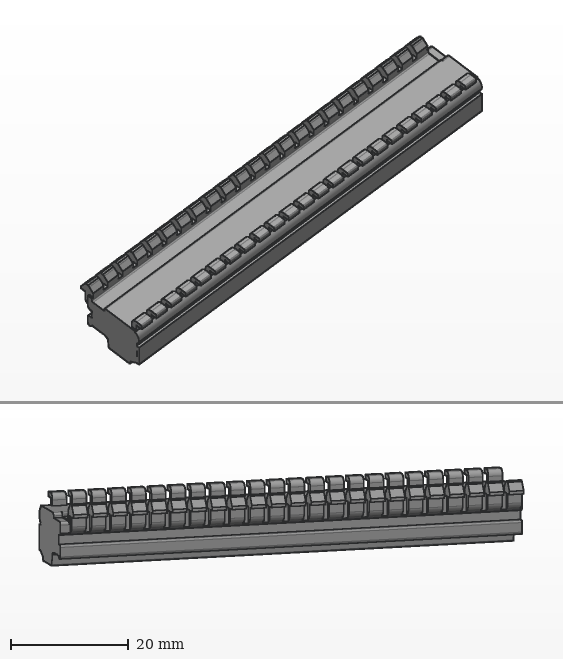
import cadquery as cq

LENGTH = 82.0
FRONT_Y = -LENGTH / 2
BACK_Y = LENGTH / 2

TOP_Z = 9.35
HOOK_TOP_Z = 11.5
GROOVE_FLOOR_Z = 8.6
LEDGE_Z = 4.4
NOTCH_FLOOR_Z = 5.9
SHELF_Z = 2.5
BEAD_BOTTOM_Z = 2.0
EDGE_ROUND = 0.25
LEDGE_ROUND = 0.3

LIP_LEFT_X = 2.0
LIP_RIGHT_X = 2.95
GROOVE_RIGHT_X = 6.0
BODY_RIGHT_X = 14.35
RIGHT_TOP_X = 13.4
NOTCH_X = 13.8
HOOK_RIGHT_X = 14.7

UNDERCUT_START_Z = 6.5
UNDERCUT_END_Z = 6.1

REAR_STEP_LENGTH = 1.55
REAR_FLOOR_Z = 8.45
REAR_ROUND = 0.5

HOOK_COUNT = 23
HOOK_WIDTH = 2.55
REAR_GAP = 1.7
FRONT_GAP = 0.3
HOOK_SPAN = LENGTH - REAR_GAP - FRONT_GAP
HOOK_PITCH = (HOOK_SPAN - HOOK_WIDTH) / (HOOK_COUNT - 1)

SLIT_X = 13.85
SLIT_Z = 3.9
SLIT_WIDTH = 0.1
SLIT_HEIGHT = 1.2
SLIT_DEPTH = 0.1

OVERLAP = 0.2
ARC_MIDDLE = 1 - 0.5 ** 0.5


def section_at(front_y):
    """Sketch plane for a cross-section that is extruded toward +Y."""
    return cq.Workplane(cq.Plane(origin=(0, front_y, 0), xDir=(1, 0, 0), normal=(0, -1, 0)))


def make_body():
    """Full-length housing with the top groove, side groove and foot."""
    bulge = EDGE_ROUND * ARC_MIDDLE
    ledge_bulge = LEDGE_ROUND * ARC_MIDDLE
    return (
        section_at(FRONT_Y)
        .moveTo(LIP_LEFT_X, TOP_Z)
        .lineTo(LIP_RIGHT_X, TOP_Z)
        .lineTo(LIP_RIGHT_X, GROOVE_FLOOR_Z + EDGE_ROUND)
        .threePointArc(
            (LIP_RIGHT_X + bulge, GROOVE_FLOOR_Z + bulge),
            (LIP_RIGHT_X + EDGE_ROUND, GROOVE_FLOOR_Z),
        )
        .lineTo(GROOVE_RIGHT_X, GROOVE_FLOOR_Z)
        .lineTo(GROOVE_RIGHT_X, TOP_Z - EDGE_ROUND)
        .threePointArc((GROOVE_RIGHT_X + bulge, TOP_Z - bulge), (GROOVE_RIGHT_X + EDGE_ROUND, TOP_Z))
        .lineTo(RIGHT_TOP_X, TOP_Z)
        .lineTo(RIGHT_TOP_X, 9.1)
        .threePointArc((BODY_RIGHT_X, 7.7), (NOTCH_X, 6.4))
        .lineTo(NOTCH_X, NOTCH_FLOOR_Z)
        .lineTo(BODY_RIGHT_X, NOTCH_FLOOR_Z)
        .lineTo(BODY_RIGHT_X, 1.55)
        .lineTo(13.7, 1.5)
        .lineTo(12.2, 0.65)
        .lineTo(12.1, 0)
        .lineTo(7.05, 0)
        .lineTo(7.0, 0.25)
        .lineTo(6.8, 2.0)
        .threePointArc((6.5, 2.3), (5.9, SHELF_Z))
        .lineTo(LIP_RIGHT_X, SHELF_Z)
        .threePointArc(((LIP_LEFT_X + LIP_RIGHT_X) / 2, BEAD_BOTTOM_Z), (LIP_LEFT_X, SHELF_Z))
        .lineTo(LIP_LEFT_X, LEDGE_Z - LEDGE_ROUND)
        .threePointArc(
            (LIP_LEFT_X + ledge_bulge, LEDGE_Z - ledge_bulge),
            (LIP_LEFT_X + LEDGE_ROUND, LEDGE_Z),
        )
        .lineTo(LIP_RIGHT_X, LEDGE_Z)
        .lineTo(LIP_RIGHT_X, UNDERCUT_END_Z)
        .lineTo(2.55, UNDERCUT_END_Z)
        .lineTo(LIP_LEFT_X, UNDERCUT_START_Z)
        .close()
        .extrude(-LENGTH)
    )


def make_rear_step():
    """Cutter that removes the lip, deepens the groove and rounds both edges at the rear."""
    bulge = REAR_ROUND * ARC_MIDDLE
    return (
        section_at(BACK_Y - REAR_STEP_LENGTH)
        .moveTo(LIP_LEFT_X, REAR_FLOOR_Z - REAR_ROUND)
        .threePointArc((LIP_LEFT_X + bulge, REAR_FLOOR_Z - bulge), (LIP_LEFT_X + REAR_ROUND, REAR_FLOOR_Z))
        .lineTo(GROOVE_RIGHT_X, REAR_FLOOR_Z)
        .lineTo(GROOVE_RIGHT_X, TOP_Z - REAR_ROUND)
        .threePointArc((GROOVE_RIGHT_X + bulge, TOP_Z - bulge), (GROOVE_RIGHT_X + REAR_ROUND, TOP_Z))
        .lineTo(LIP_LEFT_X, TOP_Z)
        .close()
        .extrude(-REAR_STEP_LENGTH)
    )


def make_slit():
    """Cutter for the narrow vertical slit in the front end face."""
    slit = cq.Workplane("XY").box(SLIT_WIDTH, 2 * SLIT_DEPTH, SLIT_HEIGHT)
    return slit.translate((SLIT_X, FRONT_Y, SLIT_Z))


def make_left_hook(front_y):
    """Arrow-headed latch whose stem merges with the left lip."""
    stem_x = 1.0
    shoulder_z = 11.3
    barb_tip_top_z = 9.9
    head_right_z = 10.4
    return (
        section_at(front_y)
        .moveTo(0, TOP_Z)
        .lineTo(0, barb_tip_top_z)
        .lineTo(stem_x, shoulder_z)
        .lineTo(1.2, HOOK_TOP_Z)
        .lineTo(1.7, HOOK_TOP_Z)
        .lineTo(LIP_LEFT_X, shoulder_z)
        .lineTo(LIP_RIGHT_X, head_right_z)
        .lineTo(LIP_RIGHT_X, UNDERCUT_START_Z)
        .lineTo(LIP_LEFT_X, UNDERCUT_START_Z)
        .lineTo(1.6, 6.7)
        .threePointArc((1.15, 7.1), (stem_x, 7.7))
        .lineTo(stem_x, TOP_Z)
        .close()
        .extrude(-HOOK_WIDTH)
    )


def make_right_hook(front_y):
    """Bent finger standing on the right edge of the top and pointing to +X."""
    stem_left_x = 12.3
    bend_radius = RIGHT_TOP_X - stem_left_x
    bend_bulge = bend_radius * ARC_MIDDLE
    finger_bottom_z = 10.6
    tip_bulge = EDGE_ROUND * ARC_MIDDLE
    return (
        section_at(front_y)
        .moveTo(stem_left_x, TOP_Z - OVERLAP)
        .lineTo(stem_left_x, HOOK_TOP_Z - bend_radius)
        .threePointArc((stem_left_x + bend_bulge, HOOK_TOP_Z - bend_bulge), (RIGHT_TOP_X, HOOK_TOP_Z))
        .lineTo(HOOK_RIGHT_X - EDGE_ROUND, HOOK_TOP_Z)
        .threePointArc(
            (HOOK_RIGHT_X - tip_bulge, HOOK_TOP_Z - tip_bulge),
            (HOOK_RIGHT_X, HOOK_TOP_Z - EDGE_ROUND),
        )
        .lineTo(HOOK_RIGHT_X, finger_bottom_z)
        .lineTo(RIGHT_TOP_X, finger_bottom_z)
        .lineTo(RIGHT_TOP_X, TOP_Z - OVERLAP)
        .close()
        .extrude(-HOOK_WIDTH)
    )


result = make_body().cut(make_rear_step()).cut(make_slit())
for index in range(HOOK_COUNT):
    hook_front_y = FRONT_Y + FRONT_GAP + index * HOOK_PITCH
    result = result.union(make_left_hook(hook_front_y)).union(make_right_hook(hook_front_y))